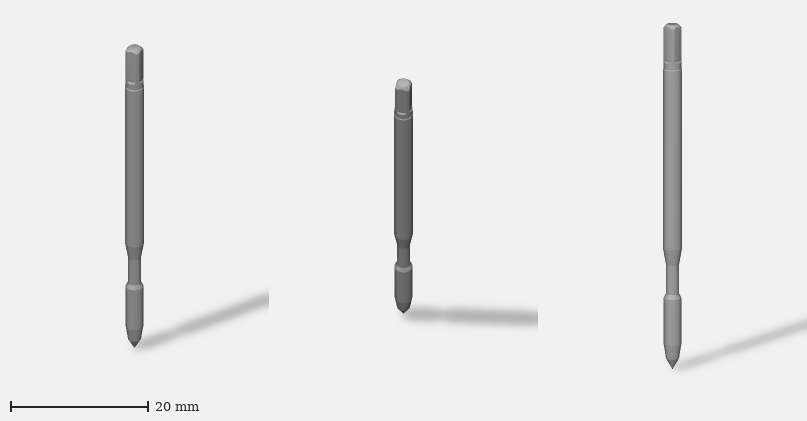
import cadquery as cq

length = 51.7
barrel_dia = 2.8
shank_dia = 2.6
neck_dia = 1.9

square_width = 2.1
top_chamfer = 0.45
flats_bottom_z = 46.0
flat_depth = (shank_dia - square_width) / 2

barrel_top_z = 45.05
shoulder_drop = 0.1
taper_top_z = 18.15
nose_z = 15.65

neck_bottom_z = 11.3
head_top_z = 10.7
head_bottom_z = 3.8
point_base_z = 1.65


def turned(profile):
    """Revolve a closed (radius, height) outline about the Z axis."""
    return cq.Workplane("XZ").polyline(profile).close().revolve(360, (0, 0, 0), (0, 1, 0))


def flat_cutter():
    """Material removed for one flat on the +X side, with a 45 degree run-out at its foot."""
    flat_x = square_width / 2
    profile = [
        (flat_x, length),
        (flat_x, flats_bottom_z + flat_depth),
        (shank_dia / 2, flats_bottom_z),
        (shank_dia, flats_bottom_z),
        (shank_dia, length),
    ]
    return cq.Workplane("XZ").polyline(profile).close().extrude(shank_dia / 2, both=True)


def make_housing():
    """Round barrel with a tapered nose and a four-sided drive shank."""
    shank_radius = shank_dia / 2
    barrel_radius = barrel_dia / 2
    body = turned([
        (0, nose_z),
        (neck_dia / 2, nose_z),
        (barrel_radius, taper_top_z),
        (barrel_radius, barrel_top_z - shoulder_drop),
        (shank_radius, barrel_top_z),
        (shank_radius, length - top_chamfer),
        (shank_radius - top_chamfer, length),
        (0, length),
    ])
    for angle in (0, 90, 180, 270):
        body = body.cut(flat_cutter().rotate((0, 0, 0), (0, 0, 1), angle))
    return body


def make_plunger():
    """Pointed plunger whose neck meets the nose of the housing."""
    neck_radius = neck_dia / 2
    head_radius = shank_dia / 2
    return turned([
        (0, 0),
        (neck_dia / 2, point_base_z),
        (head_radius, head_bottom_z),
        (head_radius, head_top_z),
        (neck_radius, neck_bottom_z),
        (neck_radius, nose_z),
        (0, nose_z),
    ])


housing = make_housing()
plunger = make_plunger()

result = cq.Compound.makeCompound([housing.val(), plunger.val()])